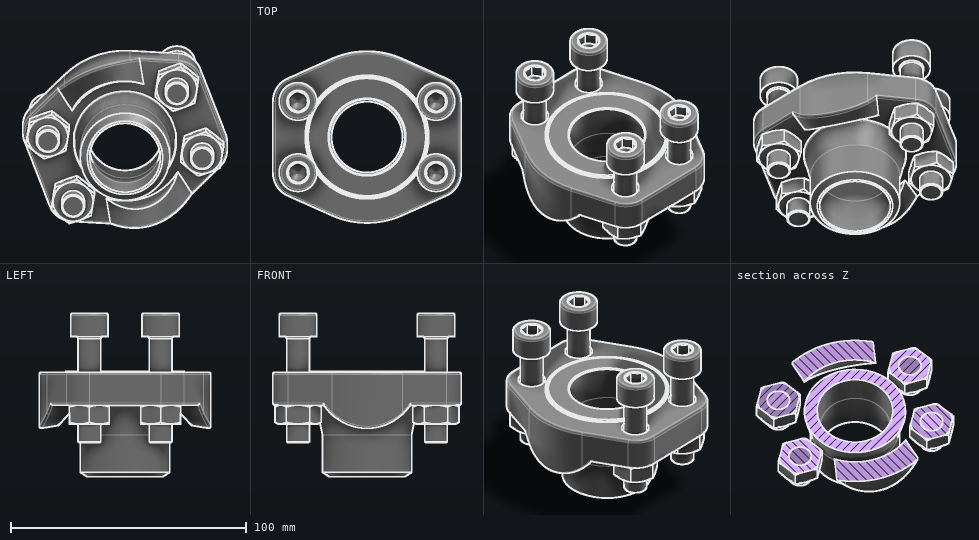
import cadquery as cq
import math

BOLT_X = 29.3
BOLT_Y = 15.1
BOLT_POINTS = [(side_x * BOLT_X, side_y * BOLT_Y) for side_x in (-1, 1) for side_y in (-1, 1)]

NECK_HEIGHT = 45.0
PIPE_RADIUS = 38.0 / 2
PIPE_BORE_RADIUS = 30.0 / 2
WELD_LAND_RADIUS = 32.0 / 2
WELD_BEVEL_HEIGHT = 2.0
CONE_BOTTOM_Z = 18.0
OUTER_CONE_TOP_Z = 30.0
BORE_CONE_TOP_Z = 30.6
NECK_RADIUS = 43.0 / 2
COLLAR_RADIUS = 50.8 / 2
COLLAR_HEIGHT = 5.0
COLLAR_BOTTOM_Z = NECK_HEIGHT - COLLAR_HEIGHT
MOUTH_RADIUS = 32.0 / 2
NECK_CHAMFER = 0.5

COLLAR_RISE = 0.5
FLANGE_TOP_Z = NECK_HEIGHT - COLLAR_RISE
FLANGE_THICKNESS = 14.0
FLANGE_BOTTOM_Z = FLANGE_TOP_Z - FLANGE_THICKNESS
FLANGE_HALF_LENGTH = 40.0
END_RADIUS = 36.5
CORNER_RADIUS = FLANGE_HALF_LENGTH - BOLT_X
RIM_FILLET = 1.0
NECK_HOLE_RADIUS = 43.7 / 2
RECESS_RADIUS = 51.6 / 2
RECESS_CHAMFER = 0.5
BOLT_HOLE_RADIUS = 11.5 / 2

LOBE_END_RADIUS = 24.0
LOBE_TAPER = 0.16
HOLLOW_TOP_RADIUS = 26.1
HOLLOW_TAPER = 0.26

BOLT_TOP_Z = 69.5
HEAD_RADIUS = 16.0 / 2
HEAD_HEIGHT = 10.0
HEAD_BOTTOM_Z = BOLT_TOP_Z - HEAD_HEIGHT
HEAD_FILLET = 1.0
SHANK_RADIUS = 9.8 / 2
SHANK_LENGTH = 45.0
SHANK_BOTTOM_Z = HEAD_BOTTOM_Z - SHANK_LENGTH
SHANK_CHAMFER = 0.5
UNDERHEAD_RADIUS = 10.5 / 2
UNDERHEAD_HEIGHT = 0.8
SOCKET_FLATS = 8.0
SOCKET_TURN = 36.0
SOCKET_DEPTH = 5.6
SOCKET_TIP_RADIUS = 8.3 / 2
SOCKET_RIM_RADIUS = 9.4 / 2

NUT_FLATS = 17.0
NUT_HEIGHT = 8.0
NUT_BOTTOM_Z = FLANGE_BOTTOM_Z - NUT_HEIGHT

CONE_RISE = math.tan(math.radians(30))


def revolve_about_z(points):
    """Full turn of a closed profile of (radius, Z) points."""
    return cq.Workplane("XZ").polyline(points).close().revolve(360, (0, 0, 0), (0, 1, 0))


def cylinder(radius, bottom_z, top_z):
    return cq.Workplane("XY", origin=(0, 0, bottom_z)).circle(radius).extrude(top_z - bottom_z)


def hexagon_bar(flats, bottom_z, top_z):
    corner_diameter = flats / math.cos(math.radians(30))
    bar = cq.Workplane("XY", origin=(0, 0, bottom_z)).polygon(6, corner_diameter)
    return bar.extrude(top_z - bottom_z)


def make_neck():
    return revolve_about_z([
        (PIPE_BORE_RADIUS, 0),
        (WELD_LAND_RADIUS, 0),
        (PIPE_RADIUS, WELD_BEVEL_HEIGHT),
        (PIPE_RADIUS, CONE_BOTTOM_Z),
        (NECK_RADIUS, OUTER_CONE_TOP_Z),
        (NECK_RADIUS, COLLAR_BOTTOM_Z),
        (COLLAR_RADIUS, COLLAR_BOTTOM_Z),
        (COLLAR_RADIUS, NECK_HEIGHT - NECK_CHAMFER),
        (COLLAR_RADIUS - NECK_CHAMFER, NECK_HEIGHT),
        (MOUTH_RADIUS + NECK_CHAMFER, NECK_HEIGHT),
        (MOUTH_RADIUS, NECK_HEIGHT - NECK_CHAMFER),
        (MOUTH_RADIUS, BORE_CONE_TOP_Z),
        (PIPE_BORE_RADIUS, CONE_BOTTOM_Z),
    ])


def make_flange_column():
    """Tall column whose outline is two end arcs joined by tangents to four corner arcs around the bolts."""
    tangent_angle = math.atan2(BOLT_Y, BOLT_X)
    tangent_angle += math.acos((END_RADIUS - CORNER_RADIUS) / math.hypot(BOLT_X, BOLT_Y))
    end_x = END_RADIUS * math.cos(tangent_angle)
    end_y = END_RADIUS * math.sin(tangent_angle)
    corner_x = BOLT_X + CORNER_RADIUS * math.cos(tangent_angle)
    corner_y = BOLT_Y + CORNER_RADIUS * math.sin(tangent_angle)
    middle_x = BOLT_X + CORNER_RADIUS * math.cos(tangent_angle / 2)
    middle_y = BOLT_Y + CORNER_RADIUS * math.sin(tangent_angle / 2)
    return (
        cq.Workplane("XY")
        .moveTo(-end_x, end_y)
        .threePointArc((0, END_RADIUS), (end_x, end_y))
        .lineTo(corner_x, corner_y)
        .threePointArc((middle_x, middle_y), (FLANGE_HALF_LENGTH, BOLT_Y))
        .lineTo(FLANGE_HALF_LENGTH, -BOLT_Y)
        .threePointArc((middle_x, -middle_y), (corner_x, -corner_y))
        .lineTo(end_x, -end_y)
        .threePointArc((0, -END_RADIUS), (-end_x, -end_y))
        .lineTo(-corner_x, -corner_y)
        .threePointArc((-middle_x, -middle_y), (-FLANGE_HALF_LENGTH, -BOLT_Y))
        .lineTo(-FLANGE_HALF_LENGTH, BOLT_Y)
        .threePointArc((-middle_x, middle_y), (-corner_x, corner_y))
        .close()
        .extrude(FLANGE_TOP_Z)
    )


def make_lobe_cone(side):
    """Cone along Y, centred in the flange top plane and growing toward the rounded end on that side."""
    length = FLANGE_HALF_LENGTH
    centre_radius = LOBE_END_RADIUS - END_RADIUS * LOBE_TAPER
    far_radius = centre_radius + length * LOBE_TAPER
    cone = cq.Solid.makeCone(
        centre_radius, far_radius, length, cq.Vector(0, 0, FLANGE_TOP_Z), cq.Vector(0, side, 0)
    )
    return cq.Workplane(cone)


def make_flange():
    plate = cq.Workplane("XY", origin=(0, 0, FLANGE_BOTTOM_Z))
    plate = plate.rect(2 * FLANGE_HALF_LENGTH, 2 * FLANGE_HALF_LENGTH).extrude(FLANGE_THICKNESS)
    envelope = plate.union(make_lobe_cone(-1)).union(make_lobe_cone(1))
    flange = make_flange_column().intersect(envelope)

    flange = flange.faces("#Z").edges("not |Z").fillet(RIM_FILLET)

    hollow = revolve_about_z([
        (0, 0),
        (HOLLOW_TOP_RADIUS + HOLLOW_TAPER * FLANGE_BOTTOM_Z, 0),
        (HOLLOW_TOP_RADIUS, FLANGE_BOTTOM_Z),
        (0, FLANGE_BOTTOM_Z),
    ])
    flange = flange.cut(hollow)

    neck_hole = revolve_about_z([
        (0, 0),
        (NECK_HOLE_RADIUS, 0),
        (NECK_HOLE_RADIUS, COLLAR_BOTTOM_Z),
        (RECESS_RADIUS, COLLAR_BOTTOM_Z),
        (RECESS_RADIUS, FLANGE_TOP_Z - RECESS_CHAMFER),
        (RECESS_RADIUS + RECESS_CHAMFER, FLANGE_TOP_Z),
        (0, FLANGE_TOP_Z),
    ])
    flange = flange.cut(neck_hole)

    for x, y in BOLT_POINTS:
        flange = flange.cut(cylinder(BOLT_HOLE_RADIUS, 0, FLANGE_TOP_Z).translate((x, y, 0)))
    return flange


def make_socket():
    """Hexagonal recess with a conical floor and a countersunk rim."""
    floor_z = BOLT_TOP_Z - SOCKET_DEPTH
    tip_z = floor_z - SOCKET_TIP_RADIUS * CONE_RISE
    hexagon = hexagon_bar(SOCKET_FLATS, floor_z, BOLT_TOP_Z).rotate((0, 0, 0), (0, 0, 1), SOCKET_TURN)
    floor_cone = revolve_about_z([(0, tip_z), (SOCKET_TIP_RADIUS, floor_z), (0, floor_z)])
    rim_tip_z = BOLT_TOP_Z - SOCKET_RIM_RADIUS * CONE_RISE
    rim_cone = revolve_about_z([(0, rim_tip_z), (SOCKET_RIM_RADIUS, BOLT_TOP_Z), (0, BOLT_TOP_Z)])
    return hexagon.union(floor_cone).union(rim_cone)


def make_bolt(x, y):
    body = revolve_about_z([
        (0, SHANK_BOTTOM_Z),
        (SHANK_RADIUS - SHANK_CHAMFER, SHANK_BOTTOM_Z),
        (SHANK_RADIUS, SHANK_BOTTOM_Z + SHANK_CHAMFER),
        (SHANK_RADIUS, HEAD_BOTTOM_Z - UNDERHEAD_HEIGHT),
        (UNDERHEAD_RADIUS, HEAD_BOTTOM_Z),
        (HEAD_RADIUS, HEAD_BOTTOM_Z),
        (HEAD_RADIUS, BOLT_TOP_Z),
        (0, BOLT_TOP_Z),
    ])
    body = body.faces(">Z").edges().fillet(HEAD_FILLET)
    return body.cut(make_socket()).translate((x, y, 0))


def make_nut(x, y):
    """Hexagon nut under the flange, its corners trimmed by a cone at each end."""
    face_radius = NUT_FLATS / 2
    wide_radius = NUT_FLATS
    trim_height = (wide_radius - face_radius) * CONE_RISE
    trim = revolve_about_z([
        (SHANK_RADIUS, NUT_BOTTOM_Z),
        (face_radius, NUT_BOTTOM_Z),
        (wide_radius, NUT_BOTTOM_Z + trim_height),
        (wide_radius, FLANGE_BOTTOM_Z - trim_height),
        (face_radius, FLANGE_BOTTOM_Z),
        (SHANK_RADIUS, FLANGE_BOTTOM_Z),
    ])
    return hexagon_bar(NUT_FLATS, NUT_BOTTOM_Z, FLANGE_BOTTOM_Z).intersect(trim).translate((x, y, 0))


neck = make_neck()
flange = make_flange()
bolts = [make_bolt(x, y) for x, y in BOLT_POINTS]
nuts = [make_nut(x, y) for x, y in BOLT_POINTS]

bodies = [neck, flange, *bolts, *nuts]
result = cq.Compound.makeCompound([body.solids().val() for body in bodies])